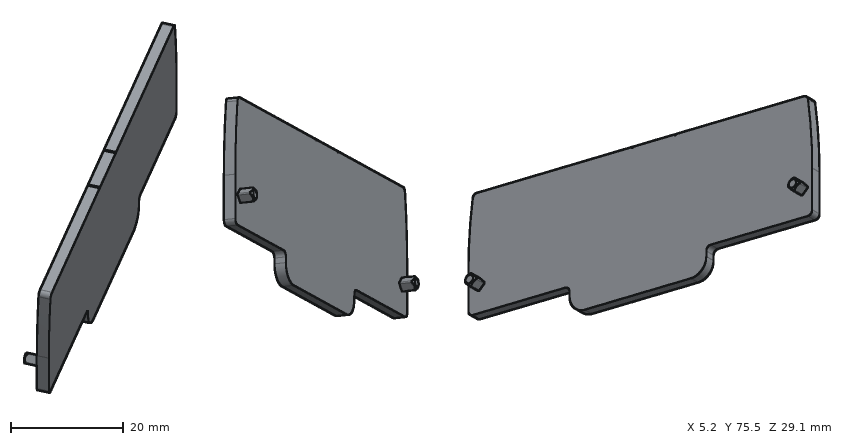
import cadquery as cq
import math

length = 75.5
height = 29.1
thickness = 2.3
half_length = length / 2
top_inset = 1.05
lean_start = 14.6
top_corner_radius = 1.0
bottom_corner_radius = 1.0

tab_drop = 5.4
tab_width = 30.0
tab_center = 0.5
tab_corner_radius = 3.4
tab_root_radius = 1.0

groove_spacing = 9.4
groove_center = -2.9
groove_width = 0.3
groove_depth = 0.15

pin_length = 2.9
pin_side = 1.95
pin_edge_radius = 0.2
pin_tip_radius = 0.8
pin_spacing = 70.95
pin_height = 11.1


def make_plate():
    lean_height = height - lean_start
    lean_radius = (lean_height**2 + top_inset**2) / (2 * top_inset)
    half_angle = math.asin(lean_height / lean_radius) / 2
    mid_y = half_length - lean_radius * (1 - math.cos(half_angle))
    mid_z = lean_start + lean_radius * math.sin(half_angle)
    top_y = half_length - top_inset
    plate = (
        cq.Workplane("YZ")
        .moveTo(-half_length, tab_drop)
        .lineTo(half_length, tab_drop)
        .lineTo(half_length, lean_start)
        .threePointArc((mid_y, mid_z), (top_y, height))
        .lineTo(-top_y, height)
        .threePointArc((-mid_y, mid_z), (-half_length, lean_start))
        .close()
        .extrude(thickness)
    )
    plate = plate.faces(">Z").edges("|X").fillet(top_corner_radius)
    return plate.faces("<Z").edges("|X").fillet(bottom_corner_radius)


def add_tab(plate):
    tab = (
        cq.Workplane("YZ")
        .center(tab_center, tab_drop)
        .rect(tab_width, 2 * tab_drop)
        .extrude(thickness)
        .faces("<Z").edges("|X").fillet(tab_corner_radius)
    )
    joined = plate.union(tab)
    root_points = [
        (thickness / 2, tab_center + side * tab_width / 2, tab_drop)
        for side in (-1, 1)
    ]
    for point in root_points:
        root = joined.edges(cq.selectors.NearestToPointSelector(point))
        joined = root.fillet(tab_root_radius)
    return joined


def make_groove(y):
    return (
        cq.Workplane("YZ")
        .moveTo(y - groove_width / 2, height)
        .lineTo(y + groove_width / 2, height)
        .lineTo(y, height - groove_depth)
        .close()
        .extrude(thickness)
    )


def make_pin(y):
    bar = (
        cq.Workplane("YZ")
        .rect(pin_side, pin_side)
        .extrude(-pin_length)
        .edges("|X").fillet(pin_edge_radius)
        .rotate((0, 0, 0), (1, 0, 0), 45)
    )
    cone = (
        cq.Workplane("XY")
        .moveTo(-pin_length, 0)
        .lineTo(-pin_length, pin_tip_radius)
        .lineTo(0, pin_tip_radius + pin_length)
        .lineTo(0, 0)
        .close()
        .revolve(360, (0, 0, 0), (1, 0, 0))
    )
    return bar.intersect(cone).translate((0, y, pin_height))


result = add_tab(make_plate())
for side in (-1, 1):
    result = result.cut(make_groove(groove_center + side * groove_spacing / 2))
    result = result.union(make_pin(side * pin_spacing / 2))